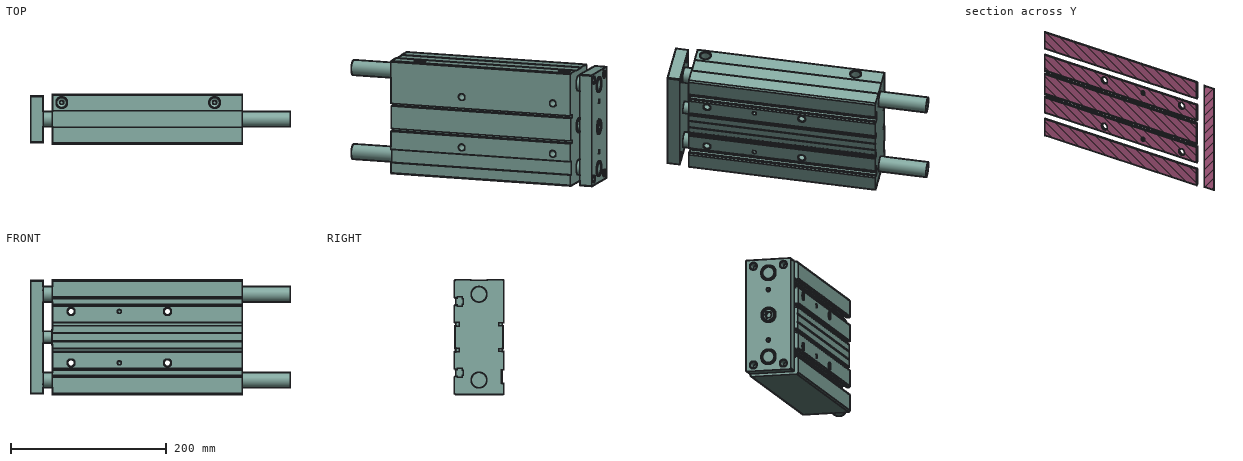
import cadquery as cq
import math

OVERALL_LENGTH = 334.0

PLATE_THICKNESS = 16.0
PLATE_WIDTH = 60.0
PLATE_HEIGHT = 146.0
PLATE_EDGE_CHAMFER = 1.0
SCREW_HOLE_DIAMETER = 8.7
SCREW_HOLE_CHAMFER = 0.7
PLATE_SCREW_Y = 20.0
PLATE_SCREW_Z = 64.8

GAP = 12.0
HOUSING_START = PLATE_THICKNESS + GAP
HOUSING_LENGTH = 244.0
HOUSING_WIDTH = 64.0
HOUSING_HEIGHT = 148.0
FRONT_CHAMFER = 2.0
BACK_CHAMFER = 1.5
FRONT_Y = -HOUSING_WIDTH / 2
BACK_Y = HOUSING_WIDTH / 2
TOP_Z = HOUSING_HEIGHT / 2
COLLAR_DIAMETER = 19.0
COLLAR_LENGTH = 1.0

TOP_RECESS_WIDTH = 21.0
TOP_RECESS_DEPTH = 0.7

T_SLOT_Z = 45.8
T_SLOT_OPENING = 8.5
T_SLOT_MOUTH_CHAMFER = 1.7
T_SLOT_HEAD_WIDTH = 12.0
T_SLOT_LIP = 4.0
T_SLOT_HEAD_END = 10.5
T_SLOT_RELIEF_WIDTH = 6.7
T_SLOT_DEPTH = 11.7

STRIP_DROP = 1.0
GROOVE_INNER_Z = 14.7
GROOVE_OUTER_Z = 18.5
GROOVE_DEPTH = 6.7
GROOVE_LIP = 2.7
GROOVE_UNDERCUT = 0.7
LAND_CHAMFER = STRIP_DROP
SLIT_Z = 5.5
SLIT_WIDTH = 1.0
SLIT_DEPTH = 0.7

BACK_SLOT_TOP_Z = -42.0
BACK_SLOT_BOTTOM_Z = -59.5
BACK_SLOT_DEPTH = 3.5

MOUNT_START_X = 52.0
MOUNT_PITCH = 124.0
MOUNT_END_X = MOUNT_START_X + MOUNT_PITCH
MOUNT_Z = 33.0
MOUNT_HOLE_DIAMETER = 8.7
MOUNT_HOLE_CHAMFER = 0.7
DOWEL_X = (MOUNT_START_X + MOUNT_END_X) / 2
DOWEL_DIAMETER = 5.0
DOWEL_DEPTH = 10.0
DRILL_POINT_ANGLE = 118.0

PORT_XS = (40.0, 236.5)
PORT_Y = 21.5
PORT_DIAMETER = 13.0
PORT_MOUTH_DIAMETER = 14.7
PORT_MOUTH_CHAMFER = (PORT_MOUTH_DIAMETER - PORT_DIAMETER) / 2
PORT_DEPTH = 12.0
PORT_PASSAGE_DIAMETER = 5.0
PORT_PASSAGE_DEPTH = 20.0

GUIDE_DIAMETER = 20.0
GUIDE_Z = 55.0
GUIDE_NOSE_DIAMETER = 16.0
GUIDE_NOSE_LENGTH = 0.7
PISTON_DIAMETER = 15.5
PISTON_LENGTH = 150.3
SEAT_DIAMETER = 19.5
SEAT_DEPTH = 2.0
NOSE_CHAMFER = 0.5
SOCKET_FLATS = 8.0
SOCKET_DEPTH = 5.0


def rod_along_x(diameter, start, length, z=0.0):
    """Cylinder parallel to X."""
    return cq.Workplane("YZ", origin=(start, 0, z)).circle(diameter / 2).extrude(length)


def bar_along_housing(points):
    """Closed (Y, Z) outline extruded over the whole housing length."""
    return cq.Workplane("YZ", origin=(HOUSING_START, 0, 0)).polyline(points).close().extrude(HOUSING_LENGTH)


def hole_cutter(start, direction, diameter, depth, chamfer=0.0, pointed=False):
    """Tool for a drilled hole, with an optional entry chamfer and drill point."""
    radius = diameter / 2
    tip = depth
    if pointed:
        tip = depth + radius / math.tan(math.radians(DRILL_POINT_ANGLE / 2))
    outline = [(0, 0), (radius + chamfer, 0), (radius, chamfer), (radius, depth), (0, tip)]
    if not chamfer:
        outline.pop(2)
    profile = cq.Workplane("XY").polyline(outline).close()
    tool = profile.revolve(360, (0, 0, 0), (0, 1, 0)).val()
    if direction == "+X":
        tool = tool.rotate(cq.Vector(0, 0, 0), cq.Vector(0, 0, 1), -90)
    elif direction == "-Z":
        tool = tool.rotate(cq.Vector(0, 0, 0), cq.Vector(1, 0, 0), -90)
    return tool.translate(cq.Vector(*start))


def make_plate():
    plate = cq.Workplane("XY").box(PLATE_THICKNESS, PLATE_WIDTH, PLATE_HEIGHT, centered=(False, True, True))
    plate = plate.edges("|X").chamfer(PLATE_EDGE_CHAMFER)
    for side in (-1, 1):
        plate = plate.cut(rod_along_x(GUIDE_DIAMETER, 0, PLATE_THICKNESS, side * GUIDE_Z))
        dowel = hole_cutter((0, 0, side * MOUNT_Z), "+X", DOWEL_DIAMETER, DOWEL_DEPTH, pointed=True)
        plate = plate.cut(cq.Workplane(dowel))
        for y in (-PLATE_SCREW_Y, PLATE_SCREW_Y):
            screw_hole = hole_cutter(
                (0, y, side * PLATE_SCREW_Z), "+X", SCREW_HOLE_DIAMETER, PLATE_THICKNESS, SCREW_HOLE_CHAMFER
            )
            plate = plate.cut(cq.Workplane(screw_hole))
    plate = plate.cut(rod_along_x(PISTON_DIAMETER, 0, PLATE_THICKNESS))
    return plate.cut(rod_along_x(SEAT_DIAMETER, 0, SEAT_DEPTH))


def make_housing_block():
    """Chamfered block with the rod collar on its plate end."""
    block = bar_along_housing([
        (FRONT_Y + FRONT_CHAMFER, TOP_Z),
        (BACK_Y - BACK_CHAMFER, TOP_Z),
        (BACK_Y, TOP_Z - BACK_CHAMFER),
        (BACK_Y, -TOP_Z + BACK_CHAMFER),
        (BACK_Y - BACK_CHAMFER, -TOP_Z),
        (FRONT_Y + FRONT_CHAMFER, -TOP_Z),
        (FRONT_Y, -TOP_Z + FRONT_CHAMFER),
        (FRONT_Y, TOP_Z - FRONT_CHAMFER),
    ])
    return block.union(rod_along_x(COLLAR_DIAMETER, HOUSING_START - COLLAR_LENGTH, 2 * COLLAR_LENGTH))


def rectangle(y_start, y_end, z_start, z_end):
    return bar_along_housing([(y_start, z_start), (y_end, z_start), (y_end, z_end), (y_start, z_end)])


def t_slot(center_z):
    """T-slot with a chamfered mouth and a narrower relief behind its head, open on the front face."""
    mouth = T_SLOT_OPENING / 2 + T_SLOT_MOUTH_CHAMFER
    neck = T_SLOT_OPENING / 2
    head = T_SLOT_HEAD_WIDTH / 2
    relief = T_SLOT_RELIEF_WIDTH / 2
    throat_y = FRONT_Y + T_SLOT_MOUTH_CHAMFER
    lip_y = FRONT_Y + T_SLOT_LIP
    head_y = FRONT_Y + T_SLOT_HEAD_END
    floor_y = FRONT_Y + T_SLOT_DEPTH
    upper = [
        (FRONT_Y, mouth),
        (throat_y, neck),
        (lip_y, neck),
        (lip_y, head),
        (head_y, head),
        (head_y, relief),
        (floor_y, relief),
    ]
    lower = [(y, -z) for y, z in reversed(upper)]
    return bar_along_housing([(y, center_z + z) for y, z in upper + lower])


def cut_profile_details(housing):
    """Everything that runs along the full length of the housing."""
    recess_half = TOP_RECESS_WIDTH / 2
    housing = housing.cut(rectangle(-recess_half, recess_half, TOP_Z - TOP_RECESS_DEPTH, TOP_Z))

    strip_front = FRONT_Y + STRIP_DROP
    strip_back = BACK_Y - STRIP_DROP
    housing = housing.cut(bar_along_housing([
        (FRONT_Y, -GROOVE_OUTER_Z - LAND_CHAMFER),
        (strip_front, -GROOVE_OUTER_Z),
        (strip_front, GROOVE_OUTER_Z),
        (FRONT_Y, GROOVE_OUTER_Z + LAND_CHAMFER),
    ]))
    housing = housing.cut(rectangle(strip_back, BACK_Y, -GROOVE_OUTER_Z, GROOVE_OUTER_Z))

    for side in (-1, 1):
        inner = side * GROOVE_INNER_Z
        outer = side * GROOVE_OUTER_Z
        housing = housing.cut(rectangle(FRONT_Y, FRONT_Y + GROOVE_DEPTH, inner, outer))
        undercut_inner = inner - side * GROOVE_UNDERCUT
        undercut_outer = outer + side * GROOVE_UNDERCUT
        undercut = rectangle(FRONT_Y + GROOVE_LIP, FRONT_Y + GROOVE_DEPTH, undercut_inner, undercut_outer)
        housing = housing.cut(undercut)
        housing = housing.cut(rectangle(BACK_Y - GROOVE_DEPTH, BACK_Y, inner, outer))
        housing = housing.cut(t_slot(side * T_SLOT_Z))
        slit = side * SLIT_Z
        housing = housing.cut(bar_along_housing([
            (strip_front, slit - SLIT_WIDTH / 2),
            (strip_front + SLIT_DEPTH, slit),
            (strip_front, slit + SLIT_WIDTH / 2),
        ]))

    return housing.cut(rectangle(BACK_Y - BACK_SLOT_DEPTH, BACK_Y, BACK_SLOT_BOTTOM_Z, BACK_SLOT_TOP_Z))


def cut_mounting_holes(housing):
    for z in (-MOUNT_Z, MOUNT_Z):
        for x in (MOUNT_START_X, MOUNT_END_X):
            hole = hole_cutter((x, FRONT_Y, z), "+Y", MOUNT_HOLE_DIAMETER, HOUSING_WIDTH, MOUNT_HOLE_CHAMFER)
            housing = housing.cut(cq.Workplane(hole))
        dowel = hole_cutter((DOWEL_X, FRONT_Y, z), "+Y", DOWEL_DIAMETER, DOWEL_DEPTH, pointed=True)
        housing = housing.cut(cq.Workplane(dowel))
    return housing


def cut_ports(housing):
    for x in PORT_XS:
        mouth = (x, PORT_Y, TOP_Z)
        port = hole_cutter(mouth, "-Z", PORT_DIAMETER, PORT_DEPTH, PORT_MOUTH_CHAMFER, pointed=True)
        passage = hole_cutter(mouth, "-Z", PORT_PASSAGE_DIAMETER, PORT_PASSAGE_DEPTH)
        housing = housing.cut(cq.Workplane(port)).cut(cq.Workplane(passage))
    return housing


def make_housing():
    housing = make_housing_block()
    housing = cut_profile_details(housing)
    housing = cut_mounting_holes(housing)
    housing = cut_ports(housing)
    for side in (-1, 1):
        housing = housing.cut(rod_along_x(GUIDE_DIAMETER, HOUSING_START, HOUSING_LENGTH, side * GUIDE_Z))
    return housing.cut(rod_along_x(PISTON_DIAMETER, 0, PISTON_LENGTH))


def make_guide_rod(z):
    """Guide rod with a small stepped nose flush with the plate."""
    rod = rod_along_x(GUIDE_DIAMETER, GUIDE_NOSE_LENGTH, OVERALL_LENGTH - GUIDE_NOSE_LENGTH, z)
    nose = rod_along_x(GUIDE_NOSE_DIAMETER, 0, GUIDE_NOSE_LENGTH, z).faces("<X").chamfer(NOSE_CHAMFER)
    return rod.union(nose)


def make_piston_rod():
    """Piston rod with a chamfered nose and a hexagon socket."""
    rod = rod_along_x(PISTON_DIAMETER, 0, PISTON_LENGTH).faces("<X").chamfer(NOSE_CHAMFER)
    socket_corners = SOCKET_FLATS / math.cos(math.pi / 6)
    socket = cq.Workplane("YZ").polygon(6, socket_corners).extrude(SOCKET_DEPTH)
    return rod.cut(socket)


plate = make_plate()
housing = make_housing()
guide_rods = [make_guide_rod(z) for z in (-GUIDE_Z, GUIDE_Z)]
piston_rod = make_piston_rod()

result = cq.Compound.makeCompound([
    plate.val(),
    housing.val(),
    *[rod.val() for rod in guide_rods],
    piston_rod.val(),
])